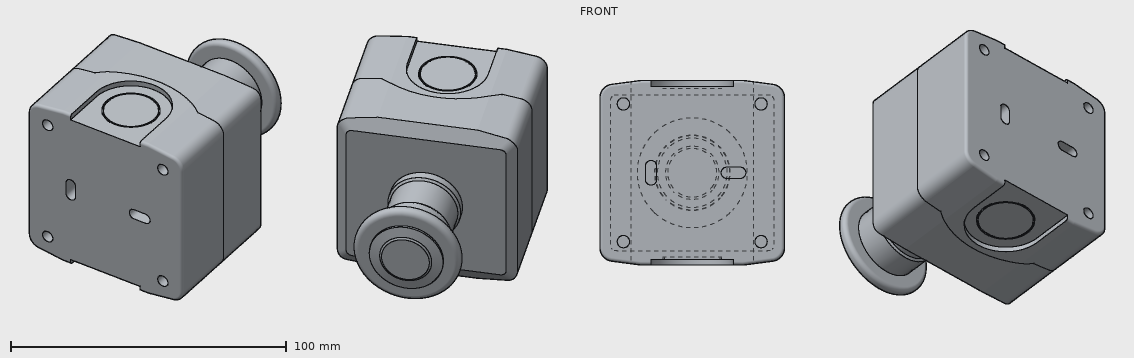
import cadquery as cq
import math


WIDTH = 67.0
HALF = WIDTH / 2
BACK_Y = -44.75
FRONT_Y = 9.3
FLAT_HALF = 18.5
SHOULDER_DROP = 2.0
CORNER_RADIUS = 5.0
BACK_FILLET = 1.2
CUT_MARGIN = 0.9

BEVEL_ANGLE = 60.0
BEVEL_DEPTH = 3.6
FRONT_HALF_X = 29.7
FRONT_HALF_Z = 28.3

JOINT_Y = BACK_Y + 27.2
JOINT_ARCH_HALF = 22.3
JOINT_ARCH_RISE = 7.5

RECESS_RADIUS = 15.0
RECESS_DEPTH = 2.15
ENTRY_Y = BACK_Y + 17.0
GROOVE_OUTER_RADIUS = 10.6
GROOVE_WIDTH = 0.5
GROOVE_DEPTH = 0.9

HOLE_OFFSET = 25.0
HOLE_DIAMETER = 4.5
SLOT_OFFSET = 14.95
SLOT_LENGTH = 8.95
SLOT_WIDTH = 4.1
HOLE_DEPTH = 8.95

BUTTON_TOP_Y = 44.75
NECK_RADIUS = 12.6
SLEEVE_RADIUS = 13.5
STEP_BEVEL = 0.7
COLLAR_HEIGHT = 3.9
SLEEVE_START_Y = 27.1
HEAD_RADIUS = 20.0
HEAD_START_Y = 38.2
RIM_FILLET = 1.7
RIM_TOP_Y = 40.5
RIM_CROWN = 2.15
DISC_RADIUS = 13.7
DISC_HEIGHT = 0.9
CAP_RADIUS = 8.9
CAP_BEVEL_RUN = 0.8
CAP_BEVEL_DROP = 0.45


def xz_plane(y):
    """Workplane at the given Y with its normal along +Y and local axes X and -Z."""
    return cq.Workplane(cq.Plane(origin=(0, y, 0), xDir=(1, 0, 0), normal=(0, 1, 0)))


def enclosure_block():
    """Solid block with sloping shoulders and rounded long corners."""
    shoulder = HALF - SHOULDER_DROP
    outline = [
        (-HALF, -shoulder), (-FLAT_HALF, -HALF), (FLAT_HALF, -HALF), (HALF, -shoulder),
        (HALF, shoulder), (FLAT_HALF, HALF), (-FLAT_HALF, HALF), (-HALF, shoulder),
    ]
    block = xz_plane(BACK_Y).polyline(outline).close().extrude(FRONT_Y - BACK_Y)
    return block.edges("|Y").edges("<X or >X").fillet(CORNER_RADIUS)


def bevel_envelope():
    """Tapered block whose sloping sides form the bevels around the front."""
    spread = BEVEL_DEPTH * math.tan(math.radians(BEVEL_ANGLE))
    size_x = 2 * (FRONT_HALF_X + spread)
    size_z = 2 * (FRONT_HALF_Z + spread)
    start_y = FRONT_Y - BEVEL_DEPTH
    taper = xz_plane(start_y).rect(size_x, size_z).extrude(BEVEL_DEPTH, taper=BEVEL_ANGLE)
    taper = taper.edges("not(#Y)").fillet(CORNER_RADIUS)
    straight = xz_plane(BACK_Y).rect(size_x, size_z).extrude(start_y - BACK_Y)
    return straight.union(taper)


def base_region():
    """Volume behind the joint, arched towards the front in the middle."""
    return (
        cq.Workplane("XY").workplane(offset=-WIDTH)
        .moveTo(-WIDTH, BACK_Y - CUT_MARGIN)
        .lineTo(-WIDTH, JOINT_Y)
        .lineTo(-JOINT_ARCH_HALF, JOINT_Y)
        .threePointArc((0, JOINT_Y + JOINT_ARCH_RISE), (JOINT_ARCH_HALF, JOINT_Y))
        .lineTo(WIDTH, JOINT_Y)
        .lineTo(WIDTH, BACK_Y - CUT_MARGIN)
        .close().extrude(2 * WIDTH)
    )


def cable_entry():
    """Cutter for the arched recess and knockout groove on the top wall."""
    floor = cq.Workplane("XY").workplane(offset=HALF - RECESS_DEPTH).center(0, ENTRY_Y)
    arch = floor.circle(RECESS_RADIUS).extrude(2 * RECESS_DEPTH)
    run_out_length = ENTRY_Y - BACK_Y + CUT_MARGIN
    run_out = (
        floor.center(0, -run_out_length / 2)
        .rect(2 * RECESS_RADIUS, run_out_length).extrude(2 * RECESS_DEPTH)
    )
    groove = (
        floor.circle(GROOVE_OUTER_RADIUS).circle(GROOVE_OUTER_RADIUS - GROOVE_WIDTH)
        .extrude(-GROOVE_DEPTH)
    )
    return arch.union(run_out).union(groove)


def back_holes():
    """Cutter for the four screw holes and two mounting slots."""
    back = xz_plane(BACK_Y)
    screws = (
        back.rect(2 * HOLE_OFFSET, 2 * HOLE_OFFSET, forConstruction=True)
        .vertices().circle(HOLE_DIAMETER / 2).extrude(HOLE_DEPTH)
    )
    upright = back.center(-SLOT_OFFSET, 0).slot2D(SLOT_LENGTH, SLOT_WIDTH, 90).extrude(HOLE_DEPTH)
    level = back.center(SLOT_OFFSET, 0).slot2D(SLOT_LENGTH, SLOT_WIDTH).extrude(HOLE_DEPTH)
    return screws.union(upright).union(level)


def button():
    """Turned collar, neck, sleeve and mushroom head."""
    collar_y = FRONT_Y + COLLAR_HEIGHT
    diagonal = math.sqrt(0.5)
    crown_y = RIM_TOP_Y + RIM_CROWN
    return (
        cq.Workplane("XY")
        .moveTo(0, FRONT_Y)
        .lineTo(SLEEVE_RADIUS, FRONT_Y)
        .lineTo(SLEEVE_RADIUS, collar_y - STEP_BEVEL)
        .lineTo(NECK_RADIUS, collar_y)
        .lineTo(NECK_RADIUS, SLEEVE_START_Y)
        .lineTo(SLEEVE_RADIUS, SLEEVE_START_Y + STEP_BEVEL)
        .lineTo(SLEEVE_RADIUS, HEAD_START_Y)
        .lineTo(HEAD_RADIUS - RIM_FILLET, HEAD_START_Y)
        .threePointArc(
            (HEAD_RADIUS - RIM_FILLET * (1 - diagonal), HEAD_START_Y + RIM_FILLET * (1 - diagonal)),
            (HEAD_RADIUS, HEAD_START_Y + RIM_FILLET),
        )
        .lineTo(HEAD_RADIUS, RIM_TOP_Y)
        .threePointArc(
            (HEAD_RADIUS - RIM_CROWN * (1 - diagonal), RIM_TOP_Y + RIM_CROWN * diagonal),
            (HEAD_RADIUS - RIM_CROWN, crown_y),
        )
        .lineTo(DISC_RADIUS, crown_y)
        .lineTo(DISC_RADIUS, crown_y + DISC_HEIGHT)
        .lineTo(CAP_RADIUS + CAP_BEVEL_RUN, BUTTON_TOP_Y - CAP_BEVEL_DROP)
        .lineTo(CAP_RADIUS, BUTTON_TOP_Y)
        .lineTo(0, BUTTON_TOP_Y)
        .close()
        .revolve(360, (0, 0, 0), (0, 1, 0))
    )


def build_base(block):
    """Rear half of the enclosure with cable entries and mounting holes."""
    body = block.faces("<Y").edges().fillet(BACK_FILLET).intersect(base_region())
    top_entry = cable_entry()
    return body.cut(top_entry).cut(top_entry.mirror("XY")).cut(back_holes())


def build_cover(block):
    """Front half of the enclosure, bevelled, carrying the button."""
    return block.intersect(bevel_envelope()).cut(base_region()).union(button())


enclosure = enclosure_block()
base = build_base(enclosure)
cover = build_cover(enclosure)

result = cq.Compound.makeCompound([base.val(), cover.val()])